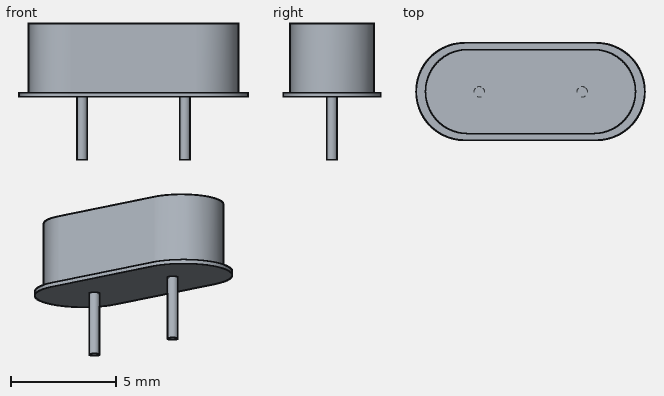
import cadquery as cq

flange_length = 10.9
flange_width = 4.65
flange_thickness = 0.2

can_length = 10.0
can_width = 4.0
can_height = 3.3

pin_diameter = 0.5
pin_length = 3.0
pin_spacing = 4.9


def make_flange():
    """Flat obround plate with its underside on Z = 0."""
    return cq.Workplane("XY").slot2D(flange_length, flange_width).extrude(flange_thickness)


def make_can():
    """Obround can standing on the top face of the flange."""
    return (
        cq.Workplane("XY")
        .workplane(offset=flange_thickness)
        .slot2D(can_length, can_width)
        .extrude(can_height)
    )


def make_pins():
    """Two round leads hanging from the flange underside."""
    return (
        cq.Workplane("XY")
        .pushPoints([(-pin_spacing / 2, 0), (pin_spacing / 2, 0)])
        .circle(pin_diameter / 2)
        .extrude(-pin_length)
    )


result = make_flange().union(make_can()).union(make_pins())